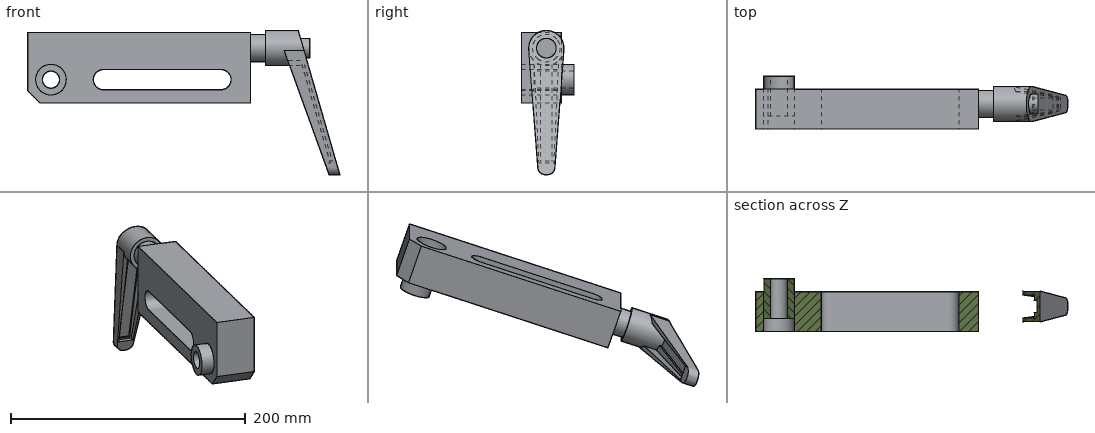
import cadquery as cq

block_length = 190.0
block_depth = 34.0
block_height = 60.0
corner_chamfer = 10.6
slot_width = 17.0
slot_start = 56.0
slot_end = 173.2

bushing_diameter = 26.0
bushing_bore = 14.4
bushing_offset = 11.0
bore_x = 20.0
bore_z = 20.0

handle_y = 21.3
handle_z = 46.8
collar_diameter = 23.5
collar_length = 12.5
hub_diameter = 30.0
stud_diameter = 16.8
stud_end_x = 240.5

overall_height = 123.0

lever_top_z = 45.0
lever_tip_z = handle_z + hub_diameter / 2 - overall_height
lever_inner_top_x = 218.5
lever_inner_tip_x = 256.7
lever_outer_top_x = 235.5
lever_outer_tip_x = 266.0
tip_half_width = 7.0
tip_radius = 6.6

recess_end_z = -51.0
recess_top_half_width = 11.0
recess_end_half_width = 6.5
groove_width = 9.8
groove_end_z = -49.5

recess_web = 5.3
groove_web = 3.2

hub_radius = hub_diameter / 2
hub_x = block_length + collar_length
lever_drop = lever_top_z - lever_tip_z
inner_slope = (lever_inner_tip_x - lever_inner_top_x) / lever_drop
outer_slope = (lever_outer_tip_x - lever_outer_top_x) / lever_drop


def inner_x(z):
    """X of the lever's inner face at height z."""
    return lever_inner_top_x + (lever_top_z - z) * inner_slope


def outer_x(z):
    """X of the lever's outer face at height z."""
    return lever_outer_top_x + (lever_top_z - z) * outer_slope


def x_cylinder(diameter, start_x, end_x):
    """Cylinder on the handle axis."""
    plane = cq.Workplane("YZ", origin=(start_x, handle_y, handle_z))
    return plane.circle(diameter / 2).extrude(end_x - start_x)


def side_profile(points, width):
    """XZ outline extruded symmetrically about the handle's middle plane."""
    plane = cq.Workplane("XZ", origin=(0, handle_y, 0))
    return plane.polyline(points).close().extrude(width / 2, both=True)


def tapered_prism(top_z, top_half_width, end_z, end_half_width):
    """Symmetric trapezoid in YZ, extruded along X past the lever."""
    plane = cq.Workplane("YZ", origin=(0, handle_y, 0))
    outline = [
        (-top_half_width, top_z),
        (top_half_width, top_z),
        (end_half_width, end_z),
        (-end_half_width, end_z),
    ]
    return plane.polyline(outline).close().extrude(lever_outer_tip_x)


def make_block():
    block = cq.Workplane("XY").box(block_length, block_depth, block_height, centered=False)
    block = block.edges("|Y and <X and <Z").chamfer(corner_chamfer)
    bore = (
        cq.Workplane("XZ")
        .center(bore_x, bore_z)
        .circle(bushing_diameter / 2)
        .extrude(-block_depth)
    )
    slot = (
        cq.Workplane("XZ")
        .center((slot_start + slot_end) / 2, bore_z)
        .slot2D(slot_end - slot_start, slot_width)
        .extrude(-block_depth)
    )
    return block.cut(bore).cut(slot)


def make_bushing():
    return (
        cq.Workplane("XZ", origin=(bore_x, bushing_offset, bore_z))
        .circle(bushing_diameter / 2)
        .circle(bushing_bore / 2)
        .extrude(-block_depth)
    )


def recess_band(web, end_z):
    """Full-width band from the inner face to a floor parallel to the outer face."""
    return side_profile(
        [
            (lever_inner_top_x, lever_top_z),
            (inner_x(end_z), end_z),
            (outer_x(end_z) - web, end_z),
            (lever_outer_top_x - web, lever_top_z),
        ],
        hub_diameter,
    )


def make_recess():
    """Tapered recess with a deeper straight groove along its floor."""
    taper = tapered_prism(
        lever_top_z, recess_top_half_width, recess_end_z, recess_end_half_width
    )
    recess = recess_band(recess_web, recess_end_z).intersect(taper)
    groove_half_width = groove_width / 2
    strip = tapered_prism(lever_top_z, groove_half_width, groove_end_z, groove_half_width)
    groove = recess_band(groove_web, groove_end_z).intersect(strip)
    return recess.union(groove)


def make_lever():
    lever = side_profile(
        [
            (lever_inner_top_x, lever_top_z),
            (lever_outer_top_x, lever_top_z),
            (lever_outer_tip_x, lever_tip_z),
            (lever_inner_tip_x, lever_tip_z),
        ],
        hub_diameter,
    )
    taper = tapered_prism(lever_top_z, hub_radius, lever_tip_z, tip_half_width)
    rounded_taper = taper.edges("|X and <Z").fillet(tip_radius)
    return lever.intersect(rounded_taper).cut(make_recess())


def make_hub():
    """Hub cylinder cut off along the plane of the lever's outer face."""
    top_z = handle_z + hub_radius
    bottom_z = handle_z - hub_radius
    envelope = side_profile(
        [
            (hub_x, top_z),
            (outer_x(top_z), top_z),
            (outer_x(bottom_z), bottom_z),
            (hub_x, bottom_z),
        ],
        hub_diameter,
    )
    return x_cylinder(hub_diameter, hub_x, outer_x(bottom_z)).intersect(envelope)


def make_handle():
    collar = x_cylinder(collar_diameter, block_length, hub_x)
    stud = x_cylinder(stud_diameter, hub_x, stud_end_x)
    return make_hub().union(make_lever()).union(collar).union(stud)


block = make_block()
bushing = make_bushing()
handle = make_handle()

result = cq.Compound.makeCompound([block.solids().val(), bushing.val(), handle.solids().val()])